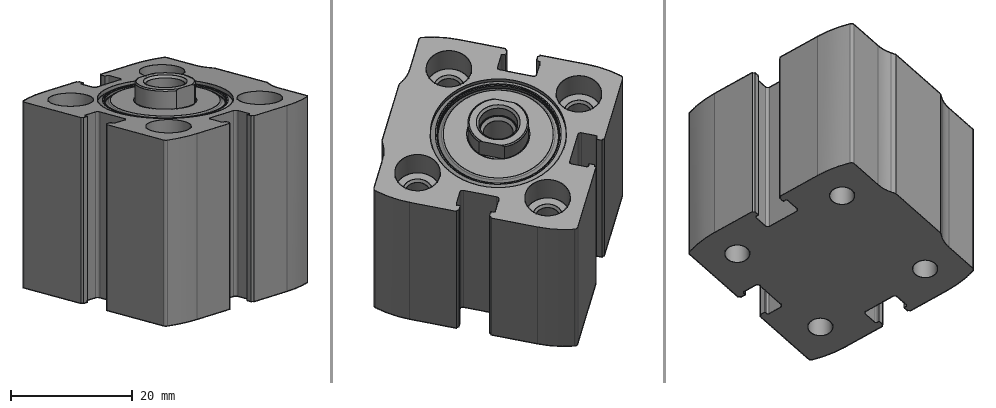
import cadquery as cq
import math

half_width = 17.25
housing_height = 32.0
rod_projection = 3.0
rod_top = housing_height + rod_projection

side_flat_half = 10.83
side_curve_radius = 18.8
corner_radius = 0.6

pad_y = 18.25
pad_half_width = 5.93
pad_flank_run = 2.05
pad_root_radius = 6.05

slot_opening = 5.2
slot_width = 6.6
slot_depth = 4.47
slot_lip = 1.28
slot_floor_radius = 0.5
slot_lip_radius = 0.25
slot_mouth_radius = 0.32

mount_offset = 11
mount_through_diameter = 4.12
mount_thread_diameter = 4.95
mount_counterbore_diameter = 7.5
mount_counterbore_depth = 5.0

cover_drop = 0.2
outer_groove_diameter = 22.4
rim_outer_diameter = 20.73
inner_groove_diameter = 20.0
rim_chamfer = 0.15
inner_cone_base_diameter = 19.8
inner_cone_top_diameter = 18.67
outer_cone_slope = 31
inner_cone_slope = 40
cover_diameter = 18.1
cover_edge_drop = 0.15
cover_z = housing_height - cover_drop

rod_diameter = 10.0
rod_edge_chamfer = 0.2
rod_depth = 21.3
rod_bottom = housing_height - rod_depth
flats_width = 9.0
flats_bottom = cover_z - 0.35
flats_runout_slope = 30
rod_seat_diameter = 10.4

rod_mouth_diameter = 7.2
rod_bore_diameter = 6.4
rod_bore_depth = 2.35
thread_mouth_diameter = 6.0
rod_thread_diameter = 4.95
rod_thread_depth = 10.65
drill_tip_angle = 118


def turned(points):
    """Solid of revolution about the Z axis from a closed (radius, height) outline."""
    return cq.Workplane("XZ").polyline(points).close().revolve(360, (0, 0, 0), (0, 1, 0))


def body_block():
    curve_rise = half_width - side_flat_half
    corner_x = half_width - side_curve_radius + math.sqrt(side_curve_radius**2 - curve_rise**2)
    mid_rise = curve_rise / 2
    mid_x = half_width - side_curve_radius + math.sqrt(side_curve_radius**2 - mid_rise**2)
    mid_y = side_flat_half + mid_rise
    pad_root_x = pad_half_width + pad_flank_run
    block = (
        cq.Workplane("XY")
        .moveTo(-corner_x, -half_width)
        .lineTo(corner_x, -half_width)
        .threePointArc((mid_x, -mid_y), (half_width, -side_flat_half))
        .lineTo(half_width, side_flat_half)
        .threePointArc((mid_x, mid_y), (corner_x, half_width))
        .lineTo(pad_root_x, half_width)
        .lineTo(pad_half_width, pad_y)
        .lineTo(-pad_half_width, pad_y)
        .lineTo(-pad_root_x, half_width)
        .lineTo(-corner_x, half_width)
        .threePointArc((-mid_x, mid_y), (-half_width, side_flat_half))
        .lineTo(-half_width, -side_flat_half)
        .threePointArc((-mid_x, -mid_y), (-corner_x, -half_width))
        .close()
        .extrude(housing_height)
    )
    mid_z = housing_height / 2
    for x in (-corner_x, corner_x):
        for y in (-half_width, half_width):
            corner = cq.selectors.NearestToPointSelector((x, y, mid_z))
            block = block.edges(corner).fillet(corner_radius)
    for root_x in (-pad_root_x, pad_root_x):
        root = cq.selectors.NearestToPointSelector((root_x, half_width, mid_z))
        block = block.edges(root).fillet(pad_root_radius)
    return block


def sensor_slot():
    """T-slot cutter in the -Y side."""
    opening_half = slot_opening / 2
    mouth_half = opening_half + slot_mouth_radius
    mouth = (
        cq.Workplane("XY")
        .moveTo(-mouth_half, -half_width)
        .radiusArc((-opening_half, -half_width + slot_mouth_radius), slot_mouth_radius)
        .lineTo(-opening_half, -half_width + slot_lip)
        .lineTo(opening_half, -half_width + slot_lip)
        .lineTo(opening_half, -half_width + slot_mouth_radius)
        .radiusArc((mouth_half, -half_width), slot_mouth_radius)
        .close()
        .extrude(housing_height)
    )
    chamber_depth = slot_depth - slot_lip
    chamber = (
        cq.Workplane("XY")
        .center(0, -half_width + slot_lip + chamber_depth / 2)
        .rect(slot_width, chamber_depth)
        .extrude(housing_height)
    )
    chamber = chamber.edges("|Z and >Y").fillet(slot_floor_radius)
    chamber = chamber.edges("|Z and <Y").fillet(slot_lip_radius)
    return chamber.union(mouth)


def mounting_hole():
    through_radius = mount_through_diameter / 2
    thread_radius = mount_thread_diameter / 2
    counterbore_radius = mount_counterbore_diameter / 2
    floor_z = housing_height - mount_counterbore_depth
    return turned([
        (0, 0),
        (through_radius, 0),
        (through_radius, floor_z - (thread_radius - through_radius)),
        (thread_radius, floor_z),
        (counterbore_radius, floor_z),
        (counterbore_radius, housing_height),
        (0, housing_height),
    ])


def cover_recess():
    """Everything removed above the bearing cover, including its two ring grooves."""
    outer_radius = outer_groove_diameter / 2
    rim_radius = rim_outer_diameter / 2
    inner_radius = inner_groove_diameter / 2
    cone_base_radius = inner_cone_base_diameter / 2
    cone_top_radius = inner_cone_top_diameter / 2
    cover_radius = cover_diameter / 2
    outer_floor_z = cover_z - (outer_radius - rim_radius) * math.tan(math.radians(outer_cone_slope))
    edge_z = cover_z - cover_edge_drop
    inner_floor_z = edge_z - (cone_base_radius - cone_top_radius) * math.tan(math.radians(inner_cone_slope))
    return turned([
        (0, housing_height),
        (outer_radius, housing_height),
        (outer_radius, outer_floor_z),
        (rim_radius, cover_z),
        (inner_radius + rim_chamfer, cover_z),
        (inner_radius, cover_z - rim_chamfer),
        (inner_radius, inner_floor_z),
        (cone_base_radius, inner_floor_z),
        (cone_top_radius, edge_z),
        (cover_radius, cover_z),
        (0, cover_z),
    ])


def rod_seat():
    rod_radius = rod_diameter / 2
    seat_radius = rod_seat_diameter / 2
    return turned([
        (0, rod_bottom),
        (rod_radius, rod_bottom),
        (rod_radius, cover_z - (seat_radius - rod_radius)),
        (seat_radius, cover_z),
        (0, cover_z),
    ])


def make_housing():
    body = body_block()
    slot = sensor_slot()
    for turn in (-90, 0, 90):
        body = body.cut(slot.rotate((0, 0, 0), (0, 0, 1), turn))
    hole = mounting_hole()
    for x in (-mount_offset, mount_offset):
        for y in (-mount_offset, mount_offset):
            body = body.cut(hole.translate((x, y, 0)))
    return body.cut(cover_recess()).cut(rod_seat())


def rod_end_hole():
    mouth_radius = rod_mouth_diameter / 2
    bore_radius = rod_bore_diameter / 2
    thread_radius = rod_thread_diameter / 2
    thread_mouth_radius = thread_mouth_diameter / 2
    bore_floor_z = rod_top - rod_bore_depth
    thread_end_z = rod_top - rod_thread_depth
    tip_height = thread_radius / math.tan(math.radians(drill_tip_angle / 2))
    return turned([
        (0, thread_end_z - tip_height),
        (thread_radius, thread_end_z),
        (thread_radius, bore_floor_z - (thread_mouth_radius - thread_radius)),
        (thread_mouth_radius, bore_floor_z),
        (bore_radius, bore_floor_z),
        (bore_radius, rod_top - (mouth_radius - bore_radius)),
        (mouth_radius, rod_top),
        (0, rod_top),
    ])


def wrench_flat():
    """Cutter for the flat on the +X side, with a sloping run-out at its lower end."""
    flat_x = flats_width / 2
    rod_radius = rod_diameter / 2
    runout_drop = (rod_radius - flat_x) * math.tan(math.radians(flats_runout_slope))
    return (
        cq.Workplane("XZ")
        .moveTo(flat_x, rod_top)
        .lineTo(flat_x, flats_bottom)
        .lineTo(rod_radius, flats_bottom - runout_drop)
        .lineTo(rod_radius, rod_top)
        .close()
        .extrude(rod_radius, both=True)
    )


def make_rod():
    rod_length = rod_top - rod_bottom
    rod = cq.Workplane("XY").workplane(offset=rod_bottom).circle(rod_diameter / 2).extrude(rod_length)
    rod = rod.faces(">Z").chamfer(rod_edge_chamfer)
    flat = wrench_flat()
    for turn in (0, 180):
        rod = rod.cut(flat.rotate((0, 0, 0), (0, 0, 1), turn))
    return rod.cut(rod_end_hole())


housing = make_housing()
rod = make_rod()
result = cq.Compound.makeCompound([housing.val(), rod.val()])